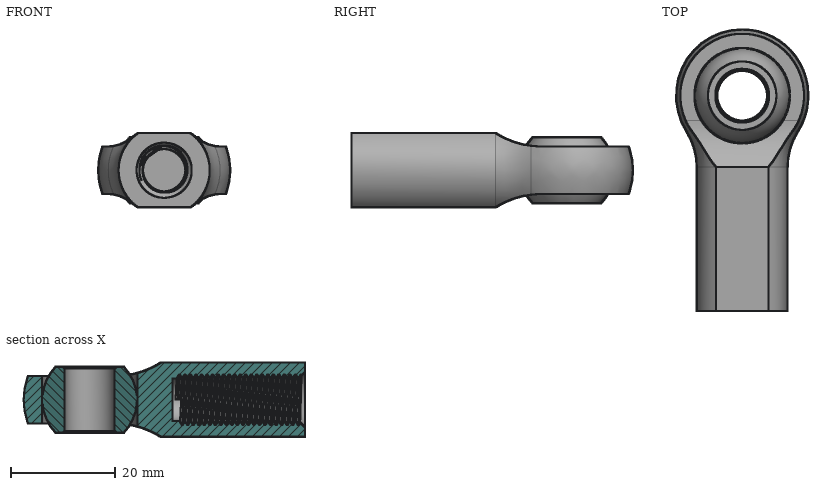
import cadquery as cq
import math

INCH = 25.4

ball_diameter = 23 / 32 * INCH
ball_width = 0.5 * INCH
ball_bore = 3 / 8 * INCH
ball_bore_chamfer = 0.4

head_radius = 0.5 * INCH
head_thickness = 9.12

center_to_end = 1.625 * INCH
shank_radius = 11 / 32 * INCH
across_flats = 14.27

neck_fillet_radius = 0.5 * INCH
scoop_start_y = -4.8

thread_pitch = INCH / 24
thread_major_radius = 3 / 16 * INCH
thread_minor_radius = 4.05
hole_depth = 1.0 * INCH
thread_length = hole_depth - thread_pitch
countersink_radius = 5.29
groove_half_angle = 30
groove_tip_half_width = thread_pitch / 16
groove_overlap = 0.05
groove_base_radius = thread_minor_radius - groove_overlap
thread_lead_in = thread_pitch / 2

shank_end_y = -center_to_end

fillet_center_radius = shank_radius + neck_fillet_radius
shank_start_y = -math.sqrt((head_radius + neck_fillet_radius) ** 2 - fillet_center_radius ** 2)
head_share = head_radius / (head_radius + neck_fillet_radius)
fillet_head_point = (fillet_center_radius * head_share, shank_start_y * head_share)

scoop_length = scoop_start_y - shank_start_y
scoop_rise = (across_flats - head_thickness) / 2
scoop_radius = (scoop_length ** 2 + scoop_rise ** 2) / (2 * scoop_rise)


def fillet_midpoint():
    """Point halfway along the neck fillet, as (distance from the Y axis, y)."""
    start_angle = math.atan2(fillet_head_point[1] - shank_start_y, fillet_head_point[0] - fillet_center_radius)
    angle = (start_angle + math.pi) / 2
    return (
        fillet_center_radius + neck_fillet_radius * math.cos(angle),
        shank_start_y + neck_fillet_radius * math.sin(angle),
    )


def round_blank():
    """Head, neck and shank as one solid of revolution about the Y axis."""
    return (
        cq.Workplane("XY")
        .moveTo(0, head_radius)
        .threePointArc((head_radius, 0), fillet_head_point)
        .threePointArc(fillet_midpoint(), (shank_radius, shank_start_y))
        .lineTo(shank_radius, shank_end_y)
        .lineTo(0, shank_end_y)
        .close()
        .revolve(360, (0, 0, 0), (0, 1, 0))
    )


def side_envelope():
    """Side outline in Y and Z: thin at the head, scooped at the neck, full height along the flats."""
    half_head = head_thickness / 2
    half_flats = across_flats / 2
    half_angle = math.asin(scoop_length / scoop_radius) / 2
    mid_y = scoop_start_y - scoop_radius * math.sin(half_angle)
    mid_z = half_head + scoop_radius * (1 - math.cos(half_angle))
    return (
        cq.Workplane("YZ")
        .moveTo(head_radius, half_head)
        .lineTo(scoop_start_y, half_head)
        .threePointArc((mid_y, mid_z), (shank_start_y, half_flats))
        .lineTo(shank_end_y, half_flats)
        .lineTo(shank_end_y, -half_flats)
        .lineTo(shank_start_y, -half_flats)
        .threePointArc((mid_y, -mid_z), (scoop_start_y, -half_head))
        .lineTo(head_radius, -half_head)
        .close()
        .extrude(head_radius, both=True)
    )


def on_shank_end(tool):
    """Turn a tool built upward along Z half a turn so that it points into the end face of the shank."""
    return tool.rotate((0, 0, 0), (0, 1, 1), 180).translate((0, shank_end_y, 0))


def tapped_hole():
    """Flat-bottomed hole at the thread crests, with a 45 degree countersink at its mouth."""
    countersink_depth = countersink_radius - thread_minor_radius
    return (
        cq.Workplane("XZ")
        .lineTo(countersink_radius, 0)
        .lineTo(thread_minor_radius, countersink_depth)
        .lineTo(thread_minor_radius, hole_depth)
        .lineTo(0, hole_depth)
        .close()
        .revolve(360, (0, 0, 0), (0, 1, 0))
    )


def thread_groove():
    """Right-hand helical groove that starts outside the end face."""
    groove_depth = thread_major_radius - groove_base_radius
    base_half_width = groove_tip_half_width + groove_depth * math.tan(math.radians(groove_half_angle))
    helix = cq.Wire.makeHelix(thread_pitch, thread_length + thread_lead_in, groove_base_radius)
    return (
        cq.Workplane("XZ")
        .moveTo(groove_base_radius, -base_half_width)
        .lineTo(thread_major_radius, -groove_tip_half_width)
        .lineTo(thread_major_radius, groove_tip_half_width)
        .lineTo(groove_base_radius, base_half_width)
        .close()
        .sweep(cq.Workplane(helix), isFrenet=True)
        .translate((0, 0, -thread_lead_in))
    )


def make_housing():
    """Rod end body with its ball bore and threaded shank."""
    ball_hole = cq.Workplane("XY").circle(ball_diameter / 2).extrude(across_flats, both=True)
    return (
        round_blank()
        .intersect(side_envelope())
        .cut(ball_hole)
        .cut(on_shank_end(tapped_hole()))
        .cut(on_shank_end(thread_groove()))
    )


def make_ball():
    """Sphere cut to width and bored along Z, with chamfered bore edges."""
    half_width = ball_width / 2
    bore_radius = ball_bore / 2
    face_radius = math.sqrt((ball_diameter / 2) ** 2 - half_width ** 2)
    return (
        cq.Workplane("XZ")
        .moveTo(bore_radius + ball_bore_chamfer, half_width)
        .lineTo(face_radius, half_width)
        .threePointArc((ball_diameter / 2, 0), (face_radius, -half_width))
        .lineTo(bore_radius + ball_bore_chamfer, -half_width)
        .lineTo(bore_radius, -half_width + ball_bore_chamfer)
        .lineTo(bore_radius, half_width - ball_bore_chamfer)
        .close()
        .revolve(360, (0, 0, 0), (0, 1, 0))
    )


housing = make_housing()
ball = make_ball()

result = cq.Compound.makeCompound([*housing.solids().vals(), ball.val()])